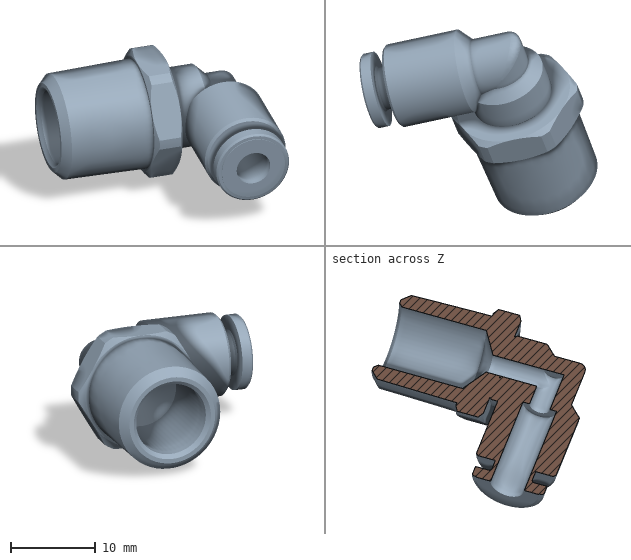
import cadquery as cq
import math


elbow_radius = 7.0 / 2
corner_radius = 1.0
corner_runout = 0.05

hex_across_flats = 14.0
hex_corner_diameter = 15.5
hex_top = -6.0
hex_length = 3.5
hex_bottom = hex_top - hex_length
hex_chamfer_angle = 30.0

collar_radius = 9.7 / 2
collar_shoulder = -2.0
collar_cone_top = collar_shoulder + (collar_radius - elbow_radius)
collar_edge_chamfer = 0.25

stem_length = 11.0
stem_end = hex_bottom - stem_length
stem_base_radius = 13.2 / 2
stem_tip_radius = 12.75 / 2
stem_tip_chamfer = 1.0

bore_radius = 8.75 / 2
bore_mouth_radius = 9.7 / 2
bore_length = 11.0
bore_cone_angle = 118.0
passage_radius = 2.5 / 2

port_radius = 10.0 / 2
port_start = 4.0
port_cone_start = port_start - (port_radius - elbow_radius)
port_end = 13.0
port_edge_chamfer = 0.3
ring_neck_radius = 5.1 / 2
ring_flange_radius = 9.0 / 2
ring_flange_start = 14.5
ring_end = 16.0
ring_edge_chamfer = 0.2
ring_lip_radius = 3.9
ring_lip_height = 0.1
ring_face = ring_end - ring_lip_height
ring_root_chamfer = 0.2
tube_radius = 4.15 / 2
tube_stop = port_start


def turned_on_y(radius_and_y):
    """Solid of revolution about Y from (radius, y) points."""
    return cq.Workplane("XY").polyline(radius_and_y).close().revolve(360, (0, 0), (0, 1))


def turned_on_x(x_and_radius):
    """Solid of revolution about X from (x, radius) points."""
    return cq.Workplane("XY").polyline(x_and_radius).close().revolve(360, (0, 0), (1, 0))


def make_elbow():
    """Two equal cylinders mitred at 45 degrees, with the outer mitre edge rounded."""
    reach = 2 * elbow_radius
    stem_leg = cq.Workplane("XZ").circle(elbow_radius).extrude(reach, both=True)
    port_leg = cq.Workplane("YZ").circle(elbow_radius).extrude(reach, both=True)
    above_mitre = (
        cq.Workplane("XY")
        .polyline([(-reach, reach), (reach, reach), (reach, -reach)])
        .close()
        .extrude(reach, both=True)
    )
    elbow = stem_leg.cut(above_mitre).union(port_leg.intersect(above_mitre))
    band_height = 2 * (elbow_radius - corner_runout)
    band = cq.Workplane("XY").box(2 * reach, 2 * reach, band_height)
    corner_edges = cq.selectors.BoxSelector((-reach, 0, -reach), (0, reach, reach))
    rounded = elbow.intersect(band).edges("%ELLIPSE").edges(corner_edges).fillet(corner_radius)
    return elbow.cut(band).union(rounded)


def make_collar():
    """Round collar with a 45 degree cone up to the elbow."""
    return turned_on_y([
        (0, collar_cone_top),
        (elbow_radius, collar_cone_top),
        (collar_radius, collar_shoulder),
        (collar_radius, hex_top + collar_edge_chamfer),
        (collar_radius - collar_edge_chamfer, hex_top),
        (0, hex_top),
    ])


def make_hexagon():
    """Hexagon with flats facing up and down, its corners turned round and chamfered."""
    circumscribed = hex_across_flats / math.cos(math.pi / 6)
    prism = (
        cq.Workplane("XZ", origin=(0, hex_top, 0))
        .polygon(6, circumscribed)
        .extrude(hex_length)
    )
    turned_radius = hex_corner_diameter / 2
    face_radius = hex_across_flats / 2
    chamfer_depth = (turned_radius - face_radius) * math.tan(math.radians(hex_chamfer_angle))
    envelope = turned_on_y([
        (0, hex_top),
        (face_radius, hex_top),
        (turned_radius, hex_top - chamfer_depth),
        (turned_radius, hex_bottom + chamfer_depth),
        (face_radius, hex_bottom),
        (0, hex_bottom),
    ])
    return prism.intersect(envelope)


def make_stem():
    """Tapered stem with a 45 degree chamfer at its tip."""
    return turned_on_y([
        (0, hex_bottom),
        (stem_base_radius, hex_bottom),
        (stem_tip_radius, stem_end + stem_tip_chamfer),
        (stem_tip_radius - stem_tip_chamfer, stem_end),
        (0, stem_end),
    ])


def make_port():
    """Tube port body with the flanged, lipped release ring at its mouth."""
    return turned_on_x([
        (0, 0),
        (0, elbow_radius),
        (port_cone_start, elbow_radius),
        (port_start, port_radius),
        (port_end - port_edge_chamfer, port_radius),
        (port_end, port_radius - port_edge_chamfer),
        (port_end, ring_neck_radius),
        (ring_flange_start - ring_root_chamfer, ring_neck_radius),
        (ring_flange_start, ring_neck_radius + ring_root_chamfer),
        (ring_flange_start, ring_flange_radius),
        (ring_face - ring_edge_chamfer, ring_flange_radius),
        (ring_face, ring_flange_radius - ring_edge_chamfer),
        (ring_face, ring_lip_radius),
        (ring_end, ring_lip_radius),
        (ring_end, 0),
    ])


def make_stem_bore():
    """Chamfered stem bore with a conical bottom and a narrow passage to the elbow."""
    cone_start = stem_end + bore_length
    cone_depth = (bore_radius - passage_radius) / math.tan(math.radians(bore_cone_angle / 2))
    mouth_depth = bore_mouth_radius - bore_radius
    return turned_on_y([
        (0, stem_end),
        (bore_mouth_radius, stem_end),
        (bore_radius, stem_end + mouth_depth),
        (bore_radius, cone_start),
        (passage_radius, cone_start + cone_depth),
        (passage_radius, 0),
        (0, 0),
    ])


def make_tube_bore():
    """Tube bore in the port, stepping down to the passage at the tube stop."""
    return turned_on_x([
        (-passage_radius, 0),
        (-passage_radius, passage_radius),
        (tube_stop, passage_radius),
        (tube_stop, tube_radius),
        (ring_end, tube_radius),
        (ring_end, 0),
    ])


body = make_elbow()
for section in (make_collar(), make_hexagon(), make_stem(), make_port()):
    body = body.union(section)

result = body.cut(make_stem_bore()).cut(make_tube_bore())